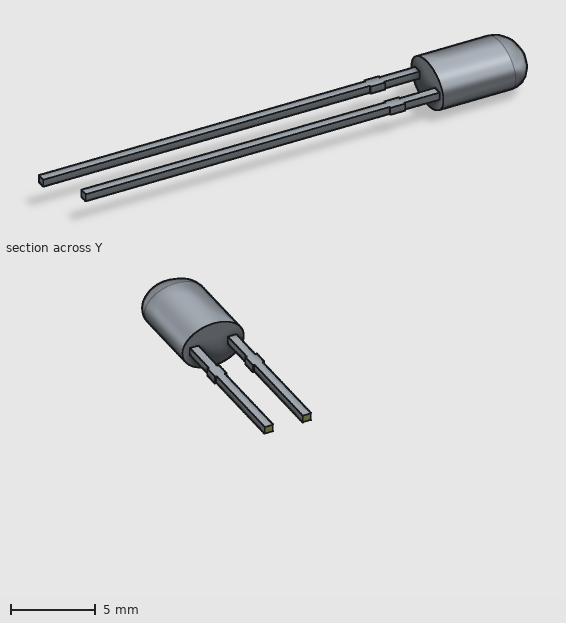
import cadquery as cq

total_length = 31.3
body_width = 4.1
body_height = 3.0
body_length = 6.3
dome_length = body_height / 2
barrel_length = body_length - dome_length

lead_pitch = 2.55
lead_width = 0.55
lead_thickness = 0.5
long_lead_length = total_length - body_length
short_lead_length = long_lead_length - 1.5

stop_width = 0.78
stop_length = 0.97
stop_offset = 2.35


def make_barrel():
    """Elliptical cylinder from the base at Y = 0 to the dome seam."""
    return (
        cq.Workplane("XZ")
        .ellipse(body_width / 2, body_height / 2)
        .extrude(-barrel_length)
    )


def make_dome():
    """Half-ellipsoid: the upper half of the body ellipse turned half a turn about X."""
    half_width = body_width / 2
    return (
        cq.Workplane("XZ", origin=(0, barrel_length, 0))
        .moveTo(half_width, 0)
        .ellipseArc(half_width, body_height / 2, 0, 180, startAtCurrent=True)
        .close()
        .revolve(180, (0, 0, 0), (-1, 0, 0))
    )


def make_bar(x, width, y_start, length):
    """Rectangular bar of lead thickness, running toward -Y from y_start."""
    return cq.Workplane("XY").box(width, length, lead_thickness).translate((x, y_start - length / 2, 0))


def make_lead(x, length):
    """One lead with its wider stop."""
    shank = make_bar(x, lead_width, 0, length)
    stop = make_bar(x, stop_width, -stop_offset, stop_length)
    return shank.union(stop)


result = make_barrel().union(make_dome(), clean=False)
for side, length in ((-1, long_lead_length), (1, short_lead_length)):
    result = result.union(make_lead(side * lead_pitch / 2, length), clean=False)